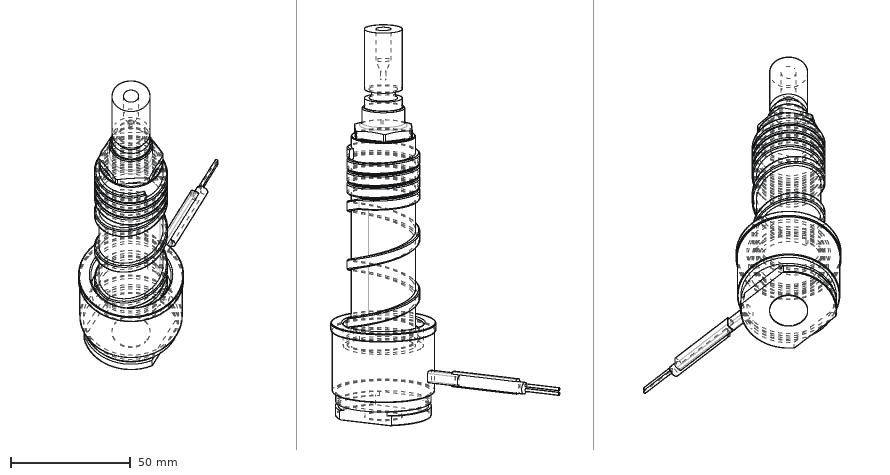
import cadquery as cq
import math

TOTAL_HEIGHT = 166.3
TOTAL_DEPTH = 104.5

FOOT_RADIUS, FOOT_HEIGHT = 8.0, 0.5
FLANGE_RADIUS = 20.1
SHOULDER_RADIUS = 20.0
GROOVE_RADIUS = 19.0
GROOVE_BOTTOM, GROOVE_TOP = 4.7, 6.5
FLATS_WIDTH = 32.0

HOUSING_BOTTOM, HOUSING_TOP = 10.8, 40.4
HOUSING_RADIUS = 21.5
RIM_DIAMETER, RIM_HEIGHT = 44.0, 3.5
RIM_RADIUS = RIM_DIAMETER / 2
RECESS_RADIUS, RECESS_DEPTH = 16.8, 10.0
RECESS_CHAMFER = 0.7
EDGE_CHAMFER = 0.3

TUBE_RADIUS, TUBE_TOP = 13.5, 120.5
NUT_FLATS = 23.8
NUT_CORNER_RADIUS = 13.5
NUT_BOTTOM, NUT_TOP = 120.9, 125.0
NUT_COLLAR_RADIUS = 10.0
NUT_EDGE_DROP = 1.0

BUSH_RADIUS, BUSH_TOP = 9.0, 132.9
BUSH_CHAMFER = 0.5
PLUNGER_RADIUS = 8.0
NECK_BOTTOM, NECK_TOP = 136.7, 140.5
NECK_END_RADIUS, NECK_WAIST_RADIUS = 6.0, 5.0
BORE_RADIUS, BORE_DEPTH = 3.2, 13.3
BORE_TAPER_DEPTH = 5.0
PILOT_RADIUS, PILOT_DEPTH = 1.2, 3.3

STRIP_OUTER_RADIUS, STRIP_HEIGHT = 15.3, 4.5
STRIP_CHAMFER = 0.5
STRIP_OVERLAP = 0.3
CLOSED_PITCH, OPEN_PITCH = 5.2, 25.1
UPPER_CLOSED_TURNS, OPEN_TURNS, LOWER_CLOSED_TURNS = 3.93, 2.25, 1.0
UPPER_JOINT_ANGLE, UPPER_JOINT_Z = -14.0, 93.6

CABLE_Z = 19.3
CABLE_WIDTH, CABLE_HEIGHT, CABLE_FILLET = 3.8, 5.0, 0.8
CABLE_X = -1.0
CABLE_START = 18.3
SLEEVE_WIDTH, SLEEVE_HEIGHT, SLEEVE_FILLET = 3.8, 6.3, 1.2
SLEEVE_X = -1.5
SLEEVE_START, SLEEVE_END = 32.3, 62.7
CONDUIT_RADIUS = 2.5
CONDUIT_START, CONDUIT_END = 36.3, 66.7
WIRE_RADIUS, WIRE_X, WIRE_SPACING = 0.7, -1.25, 2.0
WIRE_END = TOTAL_DEPTH - RIM_RADIUS


def disc(radius, bottom, top):
    """Cylinder on the part axis between two heights."""
    return cq.Workplane("XY").workplane(offset=bottom).circle(radius).extrude(top - bottom)


def base():
    """Small foot, grooved flange with two side flats, and a round shoulder."""
    flange = disc(FLANGE_RADIUS, FOOT_HEIGHT, GROOVE_BOTTOM).faces("<Z").chamfer(EDGE_CHAMFER)
    body = flange.union(disc(GROOVE_RADIUS, GROOVE_BOTTOM, GROOVE_TOP))
    flats = cq.Workplane("XY").box(
        FLATS_WIDTH, 2 * FLANGE_RADIUS, GROOVE_TOP, centered=(True, True, False)
    )
    body = body.intersect(flats)
    body = body.union(disc(SHOULDER_RADIUS, GROOVE_TOP, HOUSING_BOTTOM))
    return body.union(disc(FOOT_RADIUS, 0, FOOT_HEIGHT))


def housing():
    """Cup with a raised rim and a chamfered recess for the spring."""
    rim_bottom = HOUSING_TOP - RIM_HEIGHT
    body = disc(HOUSING_RADIUS, HOUSING_BOTTOM, rim_bottom).faces("<Z").chamfer(EDGE_CHAMFER)
    rim = disc(RIM_RADIUS, rim_bottom, HOUSING_TOP).edges().chamfer(EDGE_CHAMFER)
    recess = disc(RECESS_RADIUS, HOUSING_TOP - RECESS_DEPTH, HOUSING_TOP)
    mouth = (
        cq.Workplane("XY")
        .workplane(offset=HOUSING_TOP)
        .circle(RECESS_RADIUS + RECESS_CHAMFER)
        .workplane(offset=-RECESS_CHAMFER)
        .circle(RECESS_RADIUS)
        .loft()
    )
    return body.union(rim).cut(recess).cut(mouth)


def tube():
    """Long tube standing on the floor of the recess."""
    return disc(TUBE_RADIUS, HOUSING_TOP - RECESS_DEPTH, TUBE_TOP).faces(">Z").chamfer(EDGE_CHAMFER)


def nut():
    """Hexagon with corners along Y, rounded corners and a shallow conical top."""
    across_corners = NUT_FLATS / math.cos(math.pi / 6)
    hexagon = (
        cq.Workplane("XY")
        .workplane(offset=TUBE_TOP)
        .polygon(6, across_corners)
        .extrude(NUT_TOP - TUBE_TOP)
        .rotate((0, 0, 0), (0, 0, 1), 90)
    )
    envelope = (
        cq.Workplane("XZ")
        .moveTo(0, NUT_BOTTOM)
        .lineTo(NUT_CORNER_RADIUS, NUT_BOTTOM)
        .lineTo(NUT_CORNER_RADIUS, NUT_TOP - NUT_EDGE_DROP)
        .lineTo(NUT_COLLAR_RADIUS, NUT_TOP)
        .lineTo(0, NUT_TOP)
        .close()
        .revolve(360, (0, 0), (0, 1))
    )
    seat = disc(NUT_FLATS / 2 - EDGE_CHAMFER, TUBE_TOP, NUT_BOTTOM)
    return hexagon.intersect(envelope).union(seat)


def plunger():
    """Bush, waisted neck and round head with a stepped, tapered bore."""
    root_fillet = NUT_COLLAR_RADIUS - BUSH_RADIUS
    diagonal = math.cos(math.pi / 4)
    fillet_mid = (
        NUT_COLLAR_RADIUS - root_fillet * diagonal,
        NUT_TOP + root_fillet * (1 - diagonal),
    )
    body = (
        cq.Workplane("XZ")
        .moveTo(0, NUT_TOP)
        .lineTo(NUT_COLLAR_RADIUS, NUT_TOP)
        .threePointArc(fillet_mid, (BUSH_RADIUS, NUT_TOP + root_fillet))
        .lineTo(BUSH_RADIUS, BUSH_TOP - BUSH_CHAMFER)
        .lineTo(BUSH_RADIUS - BUSH_CHAMFER, BUSH_TOP)
        .lineTo(PLUNGER_RADIUS, BUSH_TOP)
        .lineTo(PLUNGER_RADIUS, NECK_BOTTOM)
        .lineTo(NECK_END_RADIUS, NECK_BOTTOM)
        .threePointArc(
            (NECK_WAIST_RADIUS, (NECK_BOTTOM + NECK_TOP) / 2),
            (NECK_END_RADIUS, NECK_TOP),
        )
        .lineTo(PLUNGER_RADIUS, NECK_TOP)
        .lineTo(PLUNGER_RADIUS, TOTAL_HEIGHT)
        .lineTo(0, TOTAL_HEIGHT)
        .close()
        .revolve(360, (0, 0), (0, 1))
    )
    bore_floor = TOTAL_HEIGHT - BORE_DEPTH
    taper_floor = bore_floor - BORE_TAPER_DEPTH
    pilot_floor = taper_floor - PILOT_DEPTH
    bore = (
        cq.Workplane("XZ")
        .moveTo(0, TOTAL_HEIGHT)
        .lineTo(BORE_RADIUS, TOTAL_HEIGHT)
        .lineTo(BORE_RADIUS, bore_floor)
        .lineTo(PILOT_RADIUS, taper_floor)
        .lineTo(PILOT_RADIUS, pilot_floor)
        .lineTo(0, pilot_floor)
        .close()
        .revolve(360, (0, 0), (0, 1))
    )
    return body.cut(bore)


def coil(start_angle, start_z, pitch, turns):
    """Stretch of strip rising right-handed from an angle (degrees) and mid-height."""
    inner_radius = TUBE_RADIUS - STRIP_OVERLAP
    path = cq.Workplane(obj=cq.Wire.makeHelix(pitch, pitch * turns, STRIP_OUTER_RADIUS))
    half_height = STRIP_HEIGHT / 2
    section = (
        cq.Workplane("XZ")
        .moveTo(inner_radius, -half_height)
        .lineTo(STRIP_OUTER_RADIUS - STRIP_CHAMFER, -half_height)
        .lineTo(STRIP_OUTER_RADIUS, -half_height + STRIP_CHAMFER)
        .lineTo(STRIP_OUTER_RADIUS, half_height - STRIP_CHAMFER)
        .lineTo(STRIP_OUTER_RADIUS - STRIP_CHAMFER, half_height)
        .lineTo(inner_radius, half_height)
        .close()
    )
    strip = section.sweep(path, isFrenet=True)
    return strip.rotate((0, 0, 0), (0, 0, 1), start_angle).translate((0, 0, start_z))


def spring():
    """List of the strip stretches: closed coils at both ends, open coils between."""
    open_angle = UPPER_JOINT_ANGLE - 360 * OPEN_TURNS
    open_z = UPPER_JOINT_Z - OPEN_PITCH * OPEN_TURNS
    lower_angle = open_angle - 360 * LOWER_CLOSED_TURNS
    lower_z = open_z - CLOSED_PITCH * LOWER_CLOSED_TURNS
    upper = coil(UPPER_JOINT_ANGLE, UPPER_JOINT_Z, CLOSED_PITCH, UPPER_CLOSED_TURNS)
    middle = coil(open_angle, open_z, OPEN_PITCH, OPEN_TURNS)
    lower = coil(lower_angle, lower_z, CLOSED_PITCH, LOWER_CLOSED_TURNS)
    return [lower, middle, upper]


def bar_along_y(width, height, fillet, x, start, end):
    """Rounded rectangular bar running along Y at cable height."""
    length = end - start
    bar = cq.Workplane("XY").box(width, length, height).edges("|Y").fillet(fillet)
    return bar.translate((x, start + length / 2, CABLE_Z))


def rod_along_y(radius, x, z, start, end):
    """Round rod running along Y."""
    rod = cq.Workplane("XZ", origin=(x, start, z)).circle(radius)
    return rod.extrude(start - end)


def cable():
    """Flat cable, sleeve, round conduit and a pair of wires."""
    body = bar_along_y(CABLE_WIDTH, CABLE_HEIGHT, CABLE_FILLET, CABLE_X, CABLE_START, SLEEVE_END)
    body = body.union(
        bar_along_y(SLEEVE_WIDTH, SLEEVE_HEIGHT, SLEEVE_FILLET, SLEEVE_X, SLEEVE_START, SLEEVE_END)
    )
    body = body.union(rod_along_y(CONDUIT_RADIUS, 0, CABLE_Z, CONDUIT_START, CONDUIT_END))
    for side in (-1, 1):
        wire_z = CABLE_Z + side * WIRE_SPACING / 2
        body = body.union(rod_along_y(WIRE_RADIUS, WIRE_X, wire_z, SLEEVE_END, WIRE_END))
    return body


result = base().union(housing()).union(tube()).union(nut()).union(plunger())
for strip in spring():
    result = result.union(strip)
result = result.union(cable())